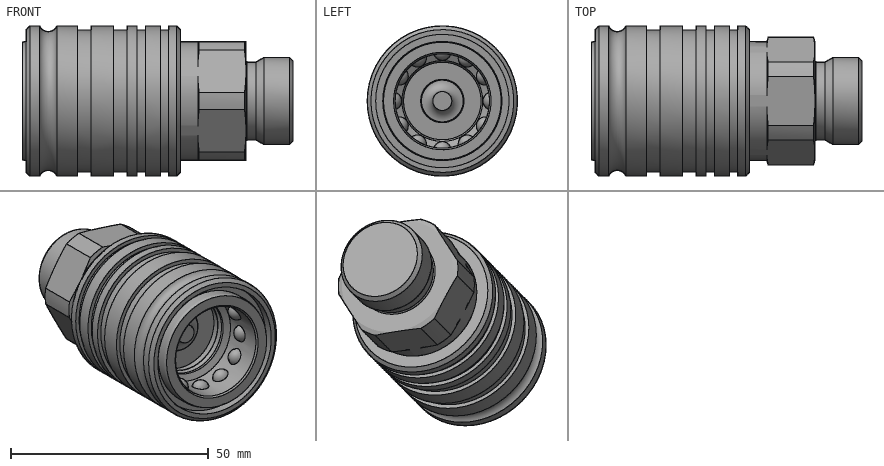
import cadquery as cq
import math


LENGTH = 68.5
SLEEVE_R = 38.0 / 2

SLEEVE_FRONT = 0.95
SLEEVE_REAR = 40.0
SLEEVE_CHAMFER = 0.95
RECESS_R = 16.85
RECESS_DEPTH = 2.75
BAND_R = 18.0
BANDS = [(14.0, 17.4), (23.1, 26.5), (29.05, 31.1), (35.0, 37.0)]
GRIP_X = 6.6
GRIP_HALF_WIDTH = 2.2
GRIP_DEPTH = 1.45

BARREL_R = 15.1
BARREL_CHAMFER_LENGTH = 0.7
BARREL_CHAMFER_DEPTH = 0.2

SOCKET_R = 11.9
SOCKET_CHAMFER = 0.4
SOCKET_CONE_START = 12.6
SOCKET_CONE_END = 13.35
SEAT_R = 10.2
SEAT_FLOOR = 17.8

SEAL_INNER_R = 9.8
SEAL_SECTION_R = 1.1
SEAL_X = 15.0

BALL_COUNT = 12
BALL_R = 2.25
BALL_X = 7.75
BALL_CIRCLE_R = 12.55

NOSE_BASE_R = 5.5
NOSE_BASE_CHAMFER = 0.2
NOSE_TIP_R = 2.4

HEX_FLATS = 30.0
HEX_CORNER_R = 16.25
HEX_FRONT = 44.4
HEX_REAR = 56.5
HEX_CHAMFER_LENGTH = 0.35

RELIEF_R = 9.85
RELIEF_CHAMFER = 0.35
RELIEF_END = 59.05
SPIGOT_R = 11.0
SPIGOT_START = 61.1
SPIGOT_CHAMFER = 0.95


def revolve_about_x(profile):
    """Turn a closed profile, drawn as (x, radius), around the X axis."""
    return profile.close().revolve(360, (0, 0, 0), (1, 0, 0))


def cylinder(radius, start, end):
    """Cylinder on the X axis between two X positions."""
    return cq.Workplane("YZ", origin=(start, 0, 0)).circle(radius).extrude(end - start)


def make_sleeve():
    rim_r = SLEEVE_R - SLEEVE_CHAMFER
    recess_floor = SLEEVE_FRONT + RECESS_DEPTH
    profile = (
        cq.Workplane("XY")
        .moveTo(SLEEVE_FRONT, RECESS_R)
        .lineTo(SLEEVE_FRONT, rim_r)
        .lineTo(SLEEVE_FRONT + SLEEVE_CHAMFER, SLEEVE_R)
        .lineTo(GRIP_X - GRIP_HALF_WIDTH, SLEEVE_R)
        .threePointArc((GRIP_X, SLEEVE_R - GRIP_DEPTH), (GRIP_X + GRIP_HALF_WIDTH, SLEEVE_R))
        .lineTo(SLEEVE_REAR - SLEEVE_CHAMFER, SLEEVE_R)
        .lineTo(SLEEVE_REAR, rim_r)
        .lineTo(SLEEVE_REAR, BARREL_R)
        .lineTo(recess_floor, BARREL_R)
        .lineTo(recess_floor, RECESS_R)
    )
    sleeve = revolve_about_x(profile)
    for start, end in BANDS:
        band = cylinder(SLEEVE_R, start, end).cut(cylinder(BAND_R, start, end))
        sleeve = sleeve.cut(band)
    return sleeve


def make_barrel():
    """Socketed front part of the core, up to the rear face of the sleeve."""
    profile = (
        cq.Workplane("XY")
        .moveTo(0, SOCKET_R + SOCKET_CHAMFER)
        .lineTo(0, BARREL_R - BARREL_CHAMFER_DEPTH)
        .lineTo(BARREL_CHAMFER_LENGTH, BARREL_R)
        .lineTo(SLEEVE_REAR, BARREL_R)
        .lineTo(SLEEVE_REAR, 0)
        .lineTo(SEAT_FLOOR, 0)
        .lineTo(SEAT_FLOOR, SEAT_R)
        .lineTo(SOCKET_CONE_END, SEAT_R)
        .lineTo(SOCKET_CONE_START, SOCKET_R)
        .lineTo(SOCKET_CHAMFER, SOCKET_R)
    )
    return revolve_about_x(profile)


def make_hexagon():
    """Flats run from the sleeve to the hexagon's rear; the neck is round between them."""
    prism = (
        cq.Workplane("YZ", origin=(SLEEVE_REAR, 0, 0))
        .polygon(6, HEX_FLATS / math.cos(math.pi / 6))
        .extrude(HEX_REAR - SLEEVE_REAR)
    )
    profile = (
        cq.Workplane("XY")
        .moveTo(SLEEVE_REAR, 0)
        .lineTo(SLEEVE_REAR, BARREL_R)
        .lineTo(HEX_FRONT, BARREL_R)
        .lineTo(HEX_FRONT + HEX_CHAMFER_LENGTH, HEX_CORNER_R)
        .lineTo(HEX_REAR - HEX_CHAMFER_LENGTH, HEX_CORNER_R)
        .lineTo(HEX_REAR, BARREL_R)
        .lineTo(HEX_REAR, 0)
    )
    return prism.intersect(revolve_about_x(profile))


def make_spigot():
    profile = (
        cq.Workplane("XY")
        .moveTo(HEX_REAR, 0)
        .lineTo(HEX_REAR, RELIEF_R + RELIEF_CHAMFER)
        .lineTo(HEX_REAR + RELIEF_CHAMFER, RELIEF_R)
        .lineTo(RELIEF_END, RELIEF_R)
        .lineTo(SPIGOT_START, SPIGOT_R)
        .lineTo(LENGTH - SPIGOT_CHAMFER, SPIGOT_R)
        .lineTo(LENGTH, SPIGOT_R - SPIGOT_CHAMFER)
        .lineTo(LENGTH, 0)
    )
    return revolve_about_x(profile)


def make_seal_bead():
    """Ring of round section that bulges out of the seat wall."""
    section_centre_r = SEAL_INNER_R + SEAL_SECTION_R
    section = cq.Workplane("XY").center(SEAL_X, section_centre_r).circle(SEAL_SECTION_R)
    return section.revolve(360, (0, -section_centre_r, 0), (1, -section_centre_r, 0))


def make_nose():
    """Valve nose whose base flares out in a quarter-circle curve."""
    base_r = NOSE_BASE_R - NOSE_BASE_CHAMFER
    base_x = SEAT_FLOOR - NOSE_BASE_CHAMFER
    flare_r = base_r - NOSE_TIP_R
    flare_reach = flare_r * (1 - math.sqrt(0.5))
    profile = (
        cq.Workplane("XY")
        .moveTo(SEAT_FLOOR, 0)
        .lineTo(SEAT_FLOOR, NOSE_BASE_R)
        .lineTo(base_x, base_r)
        .threePointArc(
            (base_x - flare_reach, NOSE_TIP_R + flare_reach),
            (base_x - flare_r, NOSE_TIP_R),
        )
        .lineTo(base_x - flare_r, 0)
    )
    return revolve_about_x(profile)


def make_ball(index):
    angle = 2 * math.pi * index / BALL_COUNT
    y = BALL_CIRCLE_R * math.cos(angle)
    z = BALL_CIRCLE_R * math.sin(angle)
    return cq.Workplane("XY").sphere(BALL_R).translate((BALL_X, y, z))


def make_core():
    core = make_barrel().union(make_hexagon()).union(make_spigot())
    core = core.union(make_seal_bead()).union(make_nose())
    for index in range(BALL_COUNT):
        core = core.union(make_ball(index))
    return core


sleeve = make_sleeve()
core = make_core()

result = cq.Compound.makeCompound([sleeve.val(), core.val()])